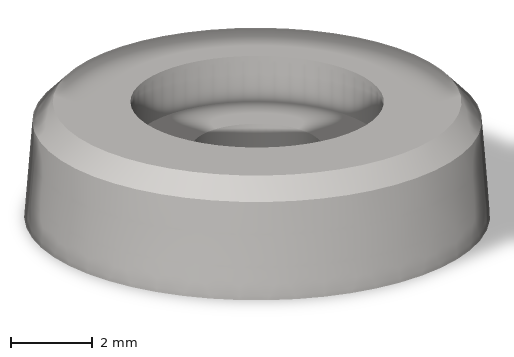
import cadquery as cq

base_diameter = 11.4
height = 3.0

shoulder_diameter = 11.0
chamfer = 0.5

hole_diameter = 3.2
counterbore_diameter = 6.2
counterbore_depth = 1.2

base_radius = base_diameter / 2
shoulder_radius = shoulder_diameter / 2
top_radius = shoulder_radius - chamfer
hole_radius = hole_diameter / 2
counterbore_radius = counterbore_diameter / 2
shoulder_height = height - chamfer
counterbore_floor = height - counterbore_depth


def bumper_foot():
    """Revolve the half section (radius, height) about the Z axis."""
    half_section = [
        (hole_radius, 0),
        (base_radius, 0),
        (shoulder_radius, shoulder_height),
        (top_radius, height),
        (counterbore_radius, height),
        (counterbore_radius, counterbore_floor),
        (hole_radius, counterbore_floor),
    ]
    return (
        cq.Workplane("XZ")
        .polyline(half_section)
        .close()
        .revolve(360, (0, 0), (0, 1))
    )


result = bumper_foot()